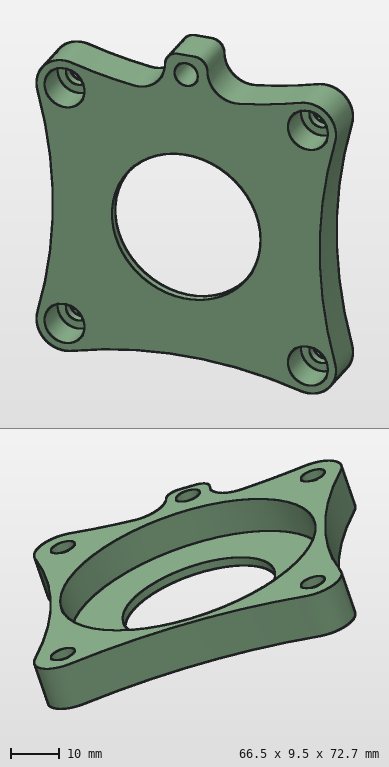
import cadquery as cq
import math

thickness = 9.5
hole_offset = 27.0
corner_radius = 6.25
waist = 29.65

top_height = 39.4
tab_half_width = 4.7
tab_corner_radius = 2.9
tab_hole_height = 34.95

hole_diameter = 5.15
counterbore_diameter = 8.85
counterbore_depth = 7.3
bore_diameter = 33.0
bore_lip = 1.95
recess_diameter = 55.2

waist_to_hole = waist - hole_offset
side_radius = (hole_offset**2 + waist_to_hole**2 - corner_radius**2) / (2 * (corner_radius - waist_to_hole))
side_center = waist + side_radius
tangent_angle = math.atan2(hole_offset, side_center - hole_offset)
tangent_along = hole_offset - corner_radius * math.sin(tangent_angle)
tangent_out = hole_offset + corner_radius * math.cos(tangent_angle)
corner_middle = hole_offset + corner_radius / math.sqrt(2)

tab_shoulder = top_height - tab_corner_radius
center_drop = side_center - tab_shoulder
fillet_radius = (side_radius**2 - center_drop**2 - tab_half_width**2) / (2 * (side_radius + tab_half_width))
fillet_x = tab_half_width + fillet_radius
fillet_end_angle = math.atan2(fillet_x, center_drop)


def on_top_arc(angle):
    """Point on the top side arc, at an angle from its lowest point."""
    return (side_radius * math.sin(angle), side_center - side_radius * math.cos(angle))


def mirrored(point):
    return (-point[0], point[1])


def arc_middle(center_x, center_z, radius, x_sign, z_sign):
    """Middle of a quarter arc."""
    reach = radius / math.sqrt(2)
    return (center_x + x_sign * reach, center_z + z_sign * reach)


def front_plane():
    """XZ plane on the front face, with extrusion going toward +Y."""
    return cq.Workplane(cq.Plane(origin=(0, 0, 0), xDir=(1, 0, 0), normal=(0, -1, 0)))


def make_plate():
    fillet_end = on_top_arc(fillet_end_angle)
    top_middle = on_top_arc((fillet_end_angle + tangent_angle) / 2)
    fillet_middle_angle = (math.pi + math.pi * 1.5 + fillet_end_angle) / 2
    fillet_middle = (
        fillet_x + fillet_radius * math.cos(fillet_middle_angle),
        tab_shoulder + fillet_radius * math.sin(fillet_middle_angle),
    )
    flat_end = (tab_half_width - tab_corner_radius, top_height)
    tab_middle = arc_middle(flat_end[0], tab_shoulder, tab_corner_radius, 1, 1)
    shoulder = (tab_half_width, tab_shoulder)
    corner_top = (tangent_along, tangent_out)
    return (
        front_plane()
        .moveTo(*mirrored(flat_end))
        .lineTo(*flat_end)
        .threePointArc(tab_middle, shoulder)
        .threePointArc(fillet_middle, fillet_end)
        .threePointArc(top_middle, corner_top)
        .threePointArc((corner_middle, corner_middle), (tangent_out, tangent_along))
        .threePointArc((waist, 0), (tangent_out, -tangent_along))
        .threePointArc((corner_middle, -corner_middle), (tangent_along, -tangent_out))
        .threePointArc((0, -waist), (-tangent_along, -tangent_out))
        .threePointArc((-corner_middle, -corner_middle), (-tangent_out, -tangent_along))
        .threePointArc((-waist, 0), (-tangent_out, tangent_along))
        .threePointArc((-corner_middle, corner_middle), mirrored(corner_top))
        .threePointArc(mirrored(top_middle), mirrored(fillet_end))
        .threePointArc(mirrored(fillet_middle), mirrored(shoulder))
        .threePointArc(mirrored(tab_middle), mirrored(flat_end))
        .close()
        .extrude(-thickness)
    )


def cylinders(points, diameter, start, end):
    """Cylinders along Y between two depths behind the front face."""
    return front_plane().workplane(offset=-start).pushPoints(points).circle(diameter / 2).extrude(start - end)


corners = [(x * hole_offset, z * hole_offset) for x in (-1, 1) for z in (-1, 1)]
result = make_plate()
result = result.cut(cylinders(corners, hole_diameter, 0, thickness))
result = result.cut(cylinders(corners, counterbore_diameter, 0, counterbore_depth))
result = result.cut(cylinders([(0, tab_hole_height)], hole_diameter, 0, thickness))
result = result.cut(cylinders([(0, 0)], bore_diameter, 0, thickness))
result = result.cut(cylinders([(0, 0)], recess_diameter, bore_lip, thickness))